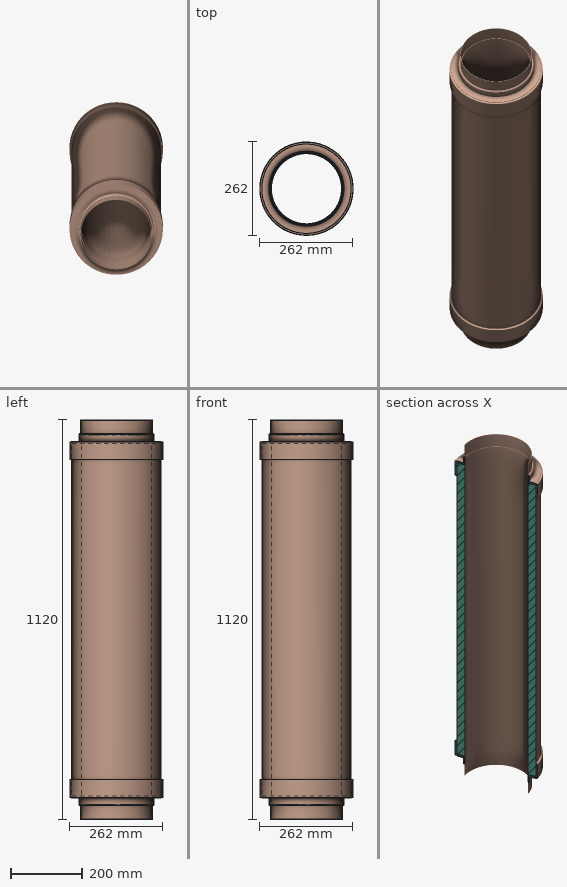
import cadquery as cq

length = 1120.0
half_length = length / 2

cap_radius = 131.0
casing_radius = 125.0
cap_face_radius = 125.0
collar_radius = 105.0
neck_radius = 102.0
spigot_radius = 101.0
spigot_wall = 1.0
spigot_bore_radius = spigot_radius - spigot_wall
bore_radius = 99.0

spigot_length = 38.0
collar_length = 21.0
cap_length = 52.0
plate_thickness = 6.0
lip_height = 1.7
collar_chamfer = 2.0
collar_web = 3.0

collar_end = half_length - spigot_length
neck_end = collar_end - collar_web
cap_face = collar_end - collar_length
cap_shoulder = cap_face - lip_height
casing_end = cap_face - plate_thickness
cap_end = cap_face - cap_length


def revolve_profile(points):
    """Revolve (radius, height) points about Z, starting on the -X side."""
    outline = [(-radius, height) for radius, height in points]
    profile = cq.Workplane("XZ").polyline(outline).close()
    return profile.revolve(360, (0, 0, 0), (0, 1, 0))


def make_casing():
    """Thick sleeve whose necks reach inside the collars, with the bore through it."""
    return revolve_profile([
        (bore_radius, -neck_end),
        (neck_radius, -neck_end),
        (neck_radius, -casing_end),
        (casing_radius, -casing_end),
        (casing_radius, casing_end),
        (neck_radius, casing_end),
        (neck_radius, neck_end),
        (bore_radius, neck_end),
    ])


def make_top_cap():
    """End cap: skirt around the casing, end plate, collar and open spigot."""
    return revolve_profile([
        (casing_radius, cap_end),
        (cap_radius, cap_end),
        (cap_radius, cap_shoulder),
        (cap_face_radius, cap_shoulder),
        (cap_face_radius, cap_face),
        (collar_radius, cap_face),
        (collar_radius, collar_end - collar_chamfer),
        (collar_radius - collar_chamfer, collar_end),
        (spigot_radius, collar_end),
        (spigot_radius, half_length),
        (spigot_bore_radius, half_length),
        (spigot_bore_radius, neck_end),
        (neck_radius, neck_end),
        (neck_radius, casing_end),
        (casing_radius, casing_end),
    ])


casing = make_casing()
top_cap = make_top_cap()
bottom_cap = top_cap.mirror("XY")

result = cq.Compound.makeCompound([casing.val(), top_cap.val(), bottom_cap.val()])